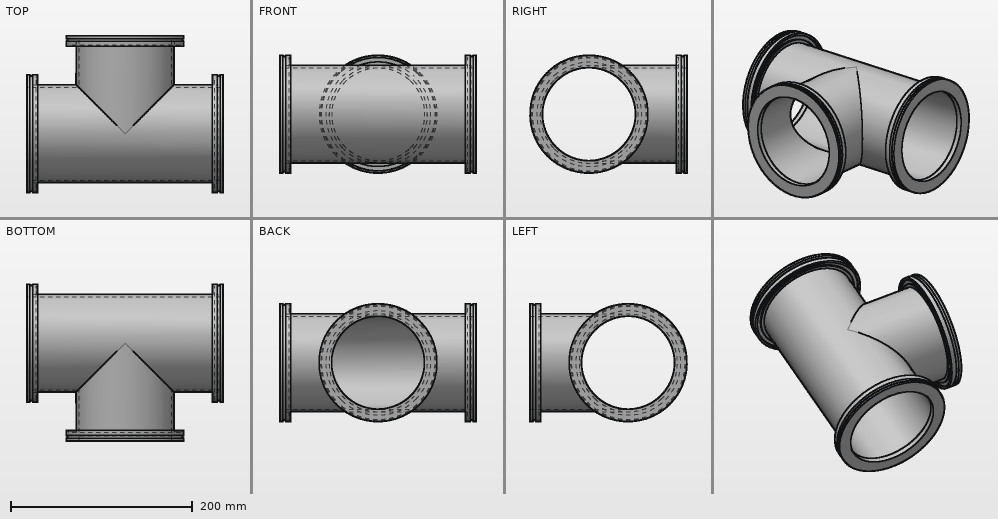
import cadquery as cq

run_length = 216.0
branch_reach = 108.0
tube_radius = 54.0
bore_radius = 51.2

flange_radius = 65.0
flange_thickness = 11.9
lip_thickness = 6.0
rim_groove_position = 4.8
rim_groove_radius = 1.5
relief_inner_radius = 57.7
relief_outer_radius = 62.5
relief_depth = 2.0

run_end = run_length / 2

flange_ends = [
    ((-run_end, 0, 0), (-1, 0, 0)),
    ((run_end, 0, 0), (1, 0, 0)),
    ((0, branch_reach, 0), (0, 1, 0)),
]


def tee_shape(radius):
    """Solid tee whose ends stop against the flange lips."""
    run_half_length = run_end - lip_thickness
    run = cq.Workplane("YZ").circle(radius).extrude(run_half_length, both=True)
    branch = cq.Workplane("XZ").circle(radius).extrude(-(branch_reach - lip_thickness))
    return run.union(branch)


def make_tee():
    """Tube with a branch of the same diameter, bored through all three arms."""
    return tee_shape(tube_radius).cut(tee_shape(bore_radius))


def make_flange(end_point, outward):
    """Flange with a lip over the tube end, a round groove in its rim and a relief groove in its back."""
    relief_floor = flange_thickness - relief_depth
    section = (
        cq.Workplane("XZ")
        .moveTo(bore_radius, 0)
        .lineTo(flange_radius, 0)
        .lineTo(flange_radius, -rim_groove_position + rim_groove_radius)
        .threePointArc(
            (flange_radius - rim_groove_radius, -rim_groove_position),
            (flange_radius, -rim_groove_position - rim_groove_radius),
        )
        .lineTo(flange_radius, -flange_thickness)
        .lineTo(relief_outer_radius, -flange_thickness)
        .lineTo(relief_outer_radius, -relief_floor)
        .lineTo(relief_inner_radius, -relief_floor)
        .lineTo(relief_inner_radius, -flange_thickness)
        .lineTo(tube_radius, -flange_thickness)
        .lineTo(tube_radius, -lip_thickness)
        .lineTo(bore_radius, -lip_thickness)
        .close()
    )
    ring = section.revolve(360, (0, 0), (0, 1))
    end_plane = cq.Plane(origin=end_point, xDir=(0, 0, 1), normal=outward)
    return ring.val().Solids()[0].moved(cq.Location(end_plane))


tee = make_tee().val().Solids()[0]
flanges = [make_flange(end_point, outward) for end_point, outward in flange_ends]

result = cq.Compound.makeCompound([tee, *flanges])